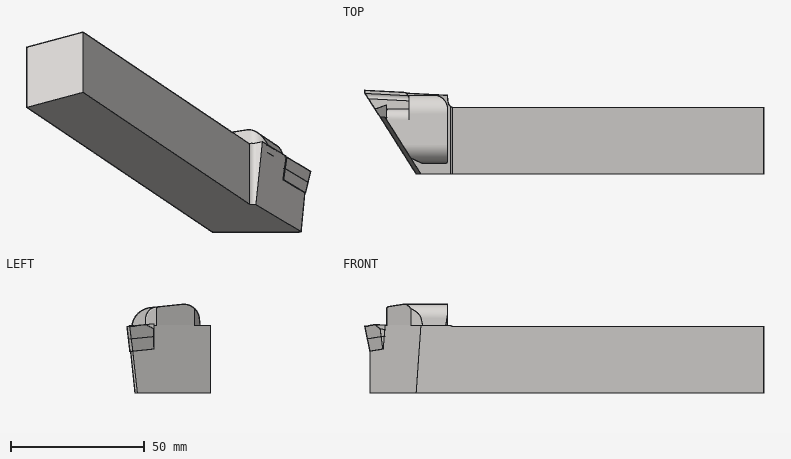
import cadquery as cq
import math


overall_length = 149.5
shank_size = 25.0

head_end = 32.9
deck_height = 25.4
deck_ramp = 0.7
flare_start = 30.8
flare_neck_x = 31.3
flare_neck_y = 27.2
flare_mid_x = 31.7
flare_mid_y = 25.9
end_cut_x = 19.3
end_cut_angle = 57.7
end_cut_lean = 3.4
head_side_inset = 0.3
head_nose_x = 2.0

tip_y = 31.4
tip_height = 25.0
side_angle = 3.0
flank_lean = 6.0
nose_flat = 1.0
insert_length = 16.1
insert_width = 9.7
insert_thickness = 4.8
shim_thickness = 4.6
rake_angle = 6.0
groove_start = 1.2
groove_width = 2.0
groove_depth = 0.3
bevel_x = 3.9
bevel_y = 24.4
bevel_turn = 25.0
bevel_slope = 24.0

clamp_top = 33.3
clamp_bottom = 22.5
clamp_front_y = 4.2
clamp_foot_y = 3.9
clamp_back_y = 29.6
clamp_end = 31.1
clamp_slope = 6.0
clamp_front_radius = 6.0
clamp_back_radius = 7.9
clamp_back_start = 16.6
clamp_back_corner = 5.4
clamp_front_corner = 1.0
bevel_back_y = 6.0
bevel_outward = -115.0
nose_front = 8.2
nose_back_y = 24.4
nose_radius = 4.5
nose_front_round = 0.7

reach = 89.7
pick_margin = 0.1


def tangent(angle):
    """Tangent of an angle in degrees."""
    return math.tan(math.radians(angle))


def unit(angle):
    """Unit vector in plan at an angle from the X axis."""
    turn = math.radians(angle)
    return cq.Vector(math.cos(turn), math.sin(turn), 0)


def half_space(point, normal):
    """Large block that fills the side of a plane to which the normal points."""
    plane = cq.Plane(origin=point, normal=normal)
    return cq.Workplane(plane).rect(2 * reach, 2 * reach).extrude(reach)


def leaning_side(point, outward_angle, lean):
    """Space outside a side wall; a positive lean moves the wall inwards going down."""
    slope = cq.Vector(0, 0, -tangent(lean))
    return half_space(point, unit(outward_angle) + slope)


def end_line_x(y, height):
    """X of the slanted head end."""
    lean_shift = height * tangent(end_cut_lean) / math.sin(math.radians(end_cut_angle))
    return end_cut_x + lean_shift - y / tangent(end_cut_angle)


end_direction = unit(-end_cut_angle)
end_outward = -90 - end_cut_angle
side_direction = unit(-side_angle)
side_outward = 90 - side_angle
tip = cq.Vector(0, tip_y, tip_height)
nose_edge = tip + cq.Vector(0, -nose_flat, nose_flat * tangent(rake_angle))
side_space = leaning_side(tip, side_outward, flank_lean)
insert_end_space = leaning_side(nose_edge, end_outward, flank_lean)
nose_lean = math.degrees(math.atan(head_nose_x / (insert_thickness + shim_thickness)))
nose_space = leaning_side(nose_edge, 180, nose_lean)

up = (unit(side_outward) * tangent(rake_angle) + cq.Vector(0, 0, 1)).normalized()
shim_top = tip - up * insert_thickness
shim_bottom = shim_top - up * shim_thickness


def seat_prism():
    """Parallelogram column over the plan of the insert and shim."""
    nose_angle = math.radians(end_cut_angle - side_angle)
    corner_overshoot = nose_flat * math.cos(math.radians(end_cut_angle)) / math.sin(nose_angle)
    sharp_tip = tip - side_direction * corner_overshoot
    end_edge = end_direction * (insert_width / math.sin(nose_angle))
    far = sharp_tip + side_direction * insert_length
    corners = [sharp_tip, far, far + end_edge, sharp_tip + end_edge]
    return (
        cq.Workplane("XY")
        .polyline([(corner.x, corner.y) for corner in corners])
        .close()
        .extrude(2 * shank_size)
    )


def relieved(column):
    """Gives a column the leaning flanks of the cutting corner."""
    return column.cut(side_space).cut(insert_end_space).cut(nose_space)


def chip_groove():
    """Shallow round groove along the long edge."""
    plane = cq.Plane(
        origin=tip + side_direction * (reach / 2),
        xDir=side_direction.cross(up),
        normal=-side_direction,
    )
    return (
        cq.Workplane(plane)
        .moveTo(groove_start, 0)
        .threePointArc(
            (groove_start + groove_width / 2, -groove_depth),
            (groove_start + groove_width, 0),
        )
        .close()
        .extrude(reach)
    )


def corner_bevel():
    """Sloping facet on the exposed inner corner, in front of the clamp nose."""
    ridge_height = tip_height + (tip_y - bevel_y) * tangent(rake_angle)
    fall = unit(bevel_turn - 90) * tangent(bevel_slope)
    facet = half_space(cq.Vector(bevel_x, bevel_y, ridge_height), fall + cq.Vector(0, 0, 1))
    return facet.cut(half_space(cq.Vector(nose_front, 0, 0), cq.Vector(1, 0, 0)))


def make_insert():
    """Indexable insert with its groove and bevel."""
    blank = seat_prism().cut(half_space(tip, up)).cut(half_space(shim_top, -up))
    return relieved(blank).cut(chip_groove()).cut(corner_bevel())


def make_shim():
    """Plate below the insert, part of the holder."""
    blank = seat_prism().cut(half_space(shim_top, up)).cut(half_space(shim_bottom, -up))
    return relieved(blank)


def make_shank():
    """Square bar that reaches into the head."""
    return cq.Workplane("XY").box(
        overall_length - flare_start, shank_size, shank_size, centered=False
    ).translate((flare_start, 0, 0))


def make_head():
    """Slant-ended block with a raised deck."""
    plan = (
        cq.Workplane("XY")
        .moveTo(0, 0)
        .lineTo(head_end, 0)
        .lineTo(head_end, shank_size)
        .threePointArc((flare_mid_x, flare_mid_y), (flare_neck_x, flare_neck_y))
        .lineTo(flare_start, tip_y)
        .lineTo(0, tip_y)
        .close()
        .extrude(deck_height)
    )
    ramp = half_space(
        cq.Vector(head_end, 0, shank_size),
        cq.Vector(deck_height - shank_size, 0, deck_ramp),
    )
    end_space = leaning_side(cq.Vector(end_cut_x, 0, 0), end_outward, -end_cut_lean)
    nose_flat_space = half_space(cq.Vector(head_nose_x, 0, 0), cq.Vector(-1, 0, 0))
    side_inset = cq.Vector(0, -head_side_inset, 0)
    return plan.cut(ramp).cut(end_space).cut(nose_flat_space).cut(side_space.translate(side_inset))


def point_on_round(center_y, center_z, radius, angle):
    """Point of a clamp round at an angle from the Y axis."""
    turn = math.radians(angle)
    return center_y + radius * math.cos(turn), center_z + radius * math.sin(turn)


def clamp_profile(back_y, back_radius):
    """Rounded cross-section of the clamp, drawn out along its whole length."""
    slope = math.radians(clamp_slope)
    front_y = clamp_front_y + clamp_front_radius * math.cos(slope)
    front_z = clamp_top - clamp_front_radius
    round_y = back_y - back_radius
    round_z = (
        front_z
        + (clamp_front_radius - back_radius) / math.cos(slope)
        - (round_y - front_y) * math.tan(slope)
    )

    def on_front(angle):
        return point_on_round(front_y, front_z, clamp_front_radius, angle)

    def on_back(angle):
        return point_on_round(round_y, round_z, back_radius, angle)

    top_angle = 90 - clamp_slope
    wall_start_y, wall_start_z = on_front(180 - clamp_slope)
    foot_y = wall_start_y - (wall_start_z - clamp_bottom) * math.tan(slope)
    return (
        cq.Workplane("YZ")
        .moveTo(foot_y, clamp_bottom)
        .lineTo(wall_start_y, wall_start_z)
        .threePointArc(on_front(135 - clamp_slope), on_front(top_angle))
        .lineTo(*on_back(top_angle))
        .threePointArc(on_back(top_angle / 2), on_back(0))
        .lineTo(back_y, clamp_bottom)
        .close()
        .extrude(clamp_end)
    )


def make_clamp():
    """Clamp with a narrower nose beside the exposed insert."""
    back_block = (
        cq.Workplane("XY")
        .box(clamp_end - clamp_back_start, clamp_back_y - clamp_foot_y, reach, centered=False)
        .translate((clamp_back_start, clamp_foot_y, 0))
        .edges("|Z and >X and >Y")
        .fillet(clamp_back_corner)
        .edges("|Z and >X and <Y")
        .fillet(clamp_front_corner)
    )
    back = clamp_profile(clamp_back_y, clamp_back_radius).intersect(back_block)
    nose_block = (
        cq.Workplane("XY")
        .box(clamp_back_start - nose_front, reach, reach, centered=False)
        .translate((nose_front, 0, 0))
    )
    nose = clamp_profile(nose_back_y, nose_radius).intersect(nose_block)
    end_point = cq.Vector(end_line_x(0, deck_height), 0, 0)
    end_space = leaning_side(end_point, end_outward, 0)
    bevel_point = cq.Vector(end_line_x(bevel_back_y, deck_height), bevel_back_y, 0)
    bevel = leaning_side(bevel_point, bevel_outward, 0)
    rim = cq.selectors.BoxSelector(
        (nose_front - pick_margin, nose_back_y - nose_radius, clamp_bottom),
        (nose_front + pick_margin, nose_back_y + pick_margin, clamp_top),
    )
    nose = nose.edges(rim).edges("%CIRCLE").fillet(nose_front_round)
    return nose.union(back).cut(end_space).cut(bevel).cut(side_space)


def make_holder(insert):
    """Shank, head, shim and clamp as one body with a seat that fits the insert."""
    pocket = seat_prism().cut(half_space(shim_bottom, -up))
    body = make_head().cut(pocket)
    return body.union(make_shank()).union(make_shim()).union(make_clamp()).cut(insert)


insert = make_insert()
holder = make_holder(insert)
result = cq.Compound.makeCompound([holder.val(), insert.val()])